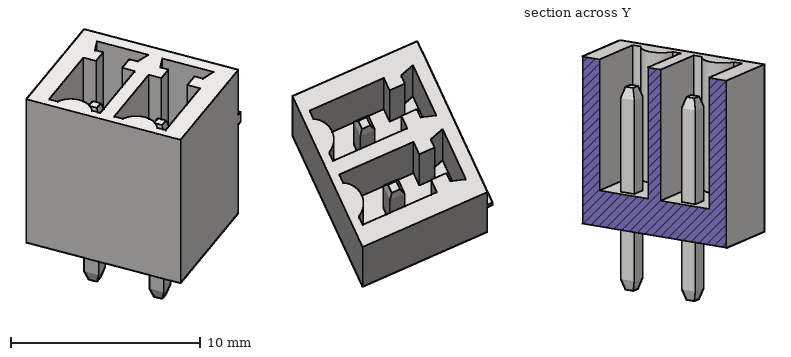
import cadquery as cq


way_count = 2
pitch = 3.81
end_margin = 2.6
housing_length = (way_count - 1) * pitch + 2 * end_margin
housing_depth = 7.25
housing_height = 9.2
floor_thickness = 2.0

rib_projection = 0.3
rib_height = 0.62
rib_bottom = 5.68

pocket_width = 3.0
pocket_front = 0.5
shoulder_y = 4.81
neck_width = 1.52
dovetail_y = 5.7
dovetail_narrow_width = 2.5
pocket_back = 6.5
bulge_width = 2.0
bulge_rise = 0.62

pin_size = 0.85
pin_y = 3.0
pin_tip_size = 0.48
pin_taper_length = 0.6
pin_tail_length = 3.4
pin_top_recess = 1.45


def make_housing():
    body = cq.Workplane("XY").box(
        housing_length, housing_depth, housing_height, centered=(True, False, False)
    )
    rib = (
        cq.Workplane("XY", origin=(0, housing_depth, rib_bottom))
        .box(housing_length, rib_projection, rib_height, centered=(True, False, False))
    )
    return body.union(rib)


def make_pocket(x):
    """Pocket volume: wide chamber with a rounded front bulge, then a neck and a dovetail."""
    half_pocket = pocket_width / 2
    half_neck = neck_width / 2
    half_narrow = dovetail_narrow_width / 2
    half_bulge = bulge_width / 2
    outline = (
        cq.Workplane("XY", origin=(x, 0, floor_thickness))
        .moveTo(-half_pocket, pocket_front)
        .lineTo(-half_bulge, pocket_front)
        .threePointArc((0, pocket_front + bulge_rise), (half_bulge, pocket_front))
        .lineTo(half_pocket, pocket_front)
        .lineTo(half_pocket, shoulder_y)
        .lineTo(half_neck, shoulder_y)
        .lineTo(half_neck, dovetail_y)
        .lineTo(half_narrow, dovetail_y)
        .lineTo(half_pocket, pocket_back)
        .lineTo(-half_pocket, pocket_back)
        .lineTo(-half_narrow, dovetail_y)
        .lineTo(-half_neck, dovetail_y)
        .lineTo(-half_neck, shoulder_y)
        .lineTo(-half_pocket, shoulder_y)
        .close()
    )
    return outline.extrude(housing_height - floor_thickness)


def make_pin(x):
    """Square pin through the pocket floor, tapered at both ends."""
    bottom = -pin_tail_length
    top = housing_height - pin_top_recess
    shank_bottom = bottom + pin_taper_length
    shank_top = top - pin_taper_length
    shank = (
        cq.Workplane("XY", origin=(x, pin_y, shank_bottom))
        .rect(pin_size, pin_size)
        .extrude(shank_top - shank_bottom)
    )
    upper_tip = make_pin_tip(x, shank_top, pin_taper_length)
    lower_tip = make_pin_tip(x, shank_bottom, -pin_taper_length)
    return shank.union(upper_tip).union(lower_tip)


def make_pin_tip(x, base_z, rise):
    """Frustum from the full pin section at base_z to the tip section; rise is signed along Z."""
    return (
        cq.Workplane("XY", origin=(x, pin_y, base_z))
        .rect(pin_size, pin_size)
        .workplane(offset=rise)
        .rect(pin_tip_size, pin_tip_size)
        .loft(ruled=True)
    )


first_way_x = -(way_count - 1) * pitch / 2

result = make_housing()
for way in range(way_count):
    way_x = first_way_x + way * pitch
    result = result.cut(make_pocket(way_x)).union(make_pin(way_x))